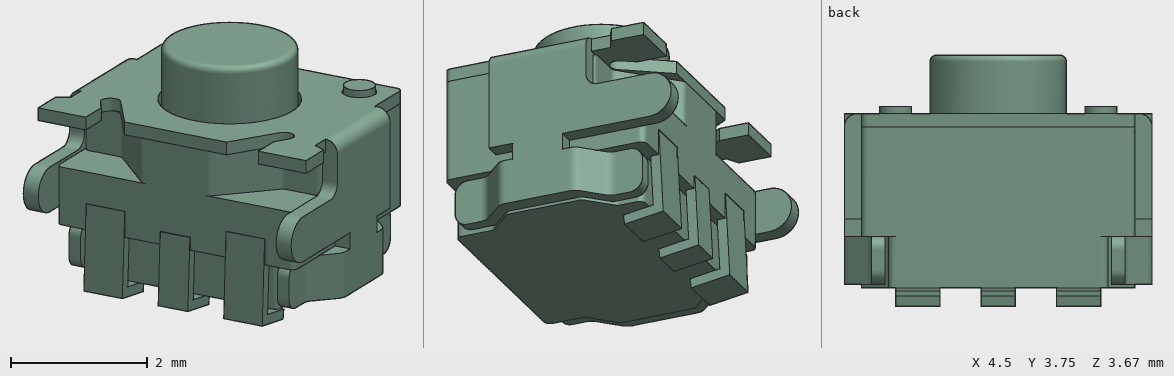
import cadquery as cq
import math


BASE_HEIGHT = 0.75
POCKET_FLOOR = 1.65
HOUSING_TOP = 2.35
PLATE_THICKNESS = 0.2
PLATE_TOP = HOUSING_TOP + PLATE_THICKNESS
POST_TOP = 2.65
BUTTON_TOP = 3.4

BODY_HALF_X = 2.0
BODY_HALF_Y = 1.6
CORNER_RADIUS = 0.1
BASE_FRONT_Y = -1.4
BASE_WAIST_HALF_X = 1.6
BULGE_HALF_Y = 0.6
BULGE_SLOPE = BODY_HALF_X - BASE_WAIST_HALF_X

POCKET_INNER_X = 0.56
POCKET_BACK_Y = -0.8
POCKET_BEND_X = POCKET_INNER_X + BODY_HALF_Y + POCKET_BACK_Y

POST_X = 1.5
POST_Y = 1.2
POST_RADIUS = 0.235
POST_HOLE_RADIUS = 0.25

SIDE_TERMINAL_X = 1.175
SIDE_TERMINAL_WIDTH = 0.65
SIDE_TERMINAL_TOP = 1.155
MIDDLE_TERMINAL_WIDTH = 0.5
MIDDLE_TERMINAL_TOP = 0.955
TERMINAL_THICKNESS = 0.155
LEG_HEEL = (-1.68, -0.18)
LEG_TILT = 3.0
FOOT_TILT = 8.2
FOOT_LENGTH = 0.625

BUTTON_RADIUS = 1.0
BUTTON_EDGE_RADIUS = 0.1
BUTTON_HOLE_RADIUS = 1.05

COVER_HALF_X = 2.25
BEND_RADIUS = 0.2
BEND_INNER_RADIUS = 0.1
PLATE_SIDE_X = COVER_HALF_X - BEND_RADIUS
PANEL_HALF_Y = 0.78
EAR_FRONT_Y = -1.705
EAR_INNER_X = 1.45
EAR_OUTER_Y = -1.19
EAR_SLOPE_Y = -1.08
TONGUE_HALF_X = 0.855
SLOT_RADIUS = 0.15
SLOT_END = (1.46, -0.96)
ARM_BOTTOM = 1.005
ARM_WIDTH = 0.698
ARM_TIP_Y = -2.145
ARM_FILLET = 0.2
NECK_HALF_Y = 0.4

STRIP_BOTTOM = 0.05
STRIP_HALF_Y = 1.505
STRIP_THICKNESS = 0.2
STRIP_END_X = 1.85
STRIP_SLOPE = COVER_HALF_X - STRIP_END_X
STRIP_EDGE_RADIUS = 0.2


def mirrored(points):
    """Complete a right-hand half outline (back to front) with its mirror image across X = 0."""
    return points + [(-x, y) for x, y in reversed(points)]


def mirror_pair(solid):
    """The solid together with its mirror image across X = 0."""
    return solid.union(solid.mirror("YZ"))


def housing_base():
    """Base block, wide beside the cover's necks and narrow at the front and back."""
    front_half = [
        (BASE_WAIST_HALF_X, BODY_HALF_Y),
        (BASE_WAIST_HALF_X, BULGE_HALF_Y + BULGE_SLOPE),
        (BODY_HALF_X, BULGE_HALF_Y),
        (BODY_HALF_X, -BULGE_HALF_Y),
        (BASE_WAIST_HALF_X, -BULGE_HALF_Y - BULGE_SLOPE),
        (BASE_WAIST_HALF_X, BASE_FRONT_Y),
    ]
    block = cq.Workplane("XY").polyline(mirrored(front_half)).close().extrude(BASE_HEIGHT)
    return block.edges("|Z").fillet(CORNER_RADIUS)


def housing_body():
    """Upper block with a pocket cut into each top front corner."""
    lower = (
        cq.Workplane("XY", origin=(0, 0, BASE_HEIGHT))
        .rect(2 * BODY_HALF_X, 2 * BODY_HALF_Y)
        .extrude(POCKET_FLOOR - BASE_HEIGHT)
        .edges("|Z")
        .fillet(CORNER_RADIUS)
    )
    upper_half = [
        (BODY_HALF_X, BODY_HALF_Y),
        (BODY_HALF_X, POCKET_BACK_Y),
        (POCKET_BEND_X, POCKET_BACK_Y),
        (POCKET_INNER_X, -BODY_HALF_Y),
    ]
    upper = (
        cq.Workplane("XY", origin=(0, 0, POCKET_FLOOR))
        .polyline(mirrored(upper_half))
        .close()
        .extrude(HOUSING_TOP - POCKET_FLOOR)
        .edges("|Z")
        .fillet(CORNER_RADIUS)
    )
    return lower.union(upper)


def inner_bend():
    """Section of the fillet inside the cover's bend on the +X side, from the back end of the panel."""
    return (
        cq.Workplane("XZ", origin=(0, PANEL_HALF_Y, 0))
        .moveTo(BODY_HALF_X, HOUSING_TOP)
        .lineTo(BODY_HALF_X - BEND_INNER_RADIUS, HOUSING_TOP)
        .radiusArc((BODY_HALF_X, HOUSING_TOP - BEND_INNER_RADIUS), BEND_INNER_RADIUS)
        .close()
    )


def terminal(center_x, width, top):
    """Bent strip: a slightly tilted leg up to the given height and a foot pointing backwards."""
    tilt = math.radians(LEG_TILT)
    foot = math.radians(FOOT_TILT)
    heel_y, heel_z = LEG_HEEL

    def leg_y(z):
        return heel_y + (z - heel_z) * math.tan(tilt)

    leg_depth = TERMINAL_THICKNESS / math.cos(tilt)
    toe = (heel_y + FOOT_LENGTH * math.cos(foot), heel_z - FOOT_LENGTH * math.sin(foot))
    toe_top = (toe[0] + TERMINAL_THICKNESS * math.sin(foot), toe[1] + TERMINAL_THICKNESS * math.cos(foot))
    inner_y = heel_y + leg_depth
    inner_z = toe_top[1] + (toe_top[0] - inner_y) * math.tan(foot)
    outline = [
        LEG_HEEL,
        toe,
        toe_top,
        (leg_y(inner_z) + leg_depth, inner_z),
        (leg_y(top) + leg_depth, top),
        (leg_y(top), top),
    ]
    return (
        cq.Workplane("YZ", origin=(center_x, 0, 0))
        .polyline(outline)
        .close()
        .extrude(width / 2, both=True)
    )


def build_housing():
    """Housing with its posts and the terminals fixed in it."""
    body = housing_base().union(housing_body())
    bend_relief = inner_bend().extrude(PANEL_HALF_Y - POCKET_BACK_Y)
    body = body.cut(mirror_pair(bend_relief))
    posts = (
        cq.Workplane("XY", origin=(0, 0, HOUSING_TOP))
        .pushPoints([(-POST_X, POST_Y), (POST_X, POST_Y)])
        .circle(POST_RADIUS)
        .extrude(POST_TOP - HOUSING_TOP)
    )
    body = body.union(posts)
    for center_x in (-SIDE_TERMINAL_X, SIDE_TERMINAL_X):
        body = body.union(terminal(center_x, SIDE_TERMINAL_WIDTH, SIDE_TERMINAL_TOP))
    return body.union(terminal(0, MIDDLE_TERMINAL_WIDTH, MIDDLE_TERMINAL_TOP))


def front_slot():
    """Slanted round-ended slot that opens at the front edge, on the +X side."""
    end_x, end_y = SLOT_END
    corner_dx = end_x - TONGUE_HALF_X
    corner_dy = end_y + BODY_HALF_Y
    reach = math.hypot(corner_dx, corner_dy)
    angle = math.atan2(corner_dy, corner_dx) + math.asin(SLOT_RADIUS / reach)
    along = (math.cos(angle), math.sin(angle))
    across = (math.sin(angle) * SLOT_RADIUS, -math.cos(angle) * SLOT_RADIUS)
    inner = (end_x - across[0], end_y - across[1])
    outer = (end_x + across[0], end_y + across[1])
    tip = (end_x + along[0] * SLOT_RADIUS, end_y + along[1] * SLOT_RADIUS)
    outer_run = (outer[0] - EAR_INNER_X) / along[0]
    ear_corner_y = outer[1] - outer_run * along[1]
    return (
        cq.Workplane("XY", origin=(0, 0, HOUSING_TOP))
        .moveTo(TONGUE_HALF_X, -BODY_HALF_Y)
        .lineTo(*inner)
        .threePointArc(tip, outer)
        .lineTo(EAR_INNER_X, ear_corner_y)
        .lineTo(EAR_INNER_X, -BODY_HALF_Y)
        .close()
        .extrude(PLATE_THICKNESS)
    )


def cover_plate():
    """Top plate with its two front ears, slots and holes."""
    right_half = [
        (BODY_HALF_X, BODY_HALF_Y),
        (BODY_HALF_X, PANEL_HALF_Y),
        (PLATE_SIDE_X, PANEL_HALF_Y),
        (PLATE_SIDE_X, EAR_SLOPE_Y),
        (COVER_HALF_X, EAR_OUTER_Y),
        (COVER_HALF_X, EAR_FRONT_Y),
        (EAR_INNER_X, EAR_FRONT_Y),
        (EAR_INNER_X, -BODY_HALF_Y),
    ]
    plate = (
        cq.Workplane("XY", origin=(0, 0, HOUSING_TOP))
        .polyline(mirrored(right_half))
        .close()
        .extrude(PLATE_THICKNESS)
        .edges("|Z and >Y")
        .fillet(CORNER_RADIUS)
    )
    button_hole = cq.Workplane("XY").circle(BUTTON_HOLE_RADIUS).extrude(BUTTON_TOP)
    post_holes = (
        cq.Workplane("XY")
        .pushPoints([(-POST_X, POST_Y), (POST_X, POST_Y)])
        .circle(POST_HOLE_RADIUS)
        .extrude(BUTTON_TOP)
    )
    return plate.cut(button_hole).cut(post_holes).cut(mirror_pair(front_slot()))


def side_panel():
    """Right-hand panel with its forward arm, and the neck down to the wavy strip."""
    arm_radius = ARM_WIDTH / 2
    arm_top = ARM_BOTTOM + ARM_WIDTH
    arm_end_y = ARM_TIP_Y + arm_radius
    panel = (
        cq.Workplane("YZ", origin=(BODY_HALF_X, 0, 0))
        .moveTo(PANEL_HALF_Y, PLATE_TOP)
        .lineTo(PANEL_HALF_Y, ARM_BOTTOM)
        .lineTo(NECK_HALF_Y, ARM_BOTTOM)
        .lineTo(NECK_HALF_Y, BASE_HEIGHT)
        .lineTo(-NECK_HALF_Y, BASE_HEIGHT)
        .lineTo(-NECK_HALF_Y, ARM_BOTTOM)
        .lineTo(arm_end_y, ARM_BOTTOM)
        .threePointArc((ARM_TIP_Y, ARM_BOTTOM + arm_radius), (arm_end_y, arm_top))
        .lineTo(-PANEL_HALF_Y - ARM_FILLET, arm_top)
        .radiusArc((-PANEL_HALF_Y, arm_top + ARM_FILLET), -ARM_FILLET)
        .lineTo(-PANEL_HALF_Y, PLATE_TOP)
        .close()
        .extrude(COVER_HALF_X - BODY_HALF_X)
    )
    return panel.edges(">Z and >X").fillet(BEND_RADIUS)


def wavy_strip():
    """Right-hand strip around the base: its middle is flush with the panel and its ends step inwards."""
    inner_end_x = STRIP_END_X - STRIP_THICKNESS
    inner_slope = BODY_HALF_X - inner_end_x
    outer_back = [
        (STRIP_END_X, STRIP_HALF_Y),
        (STRIP_END_X, BULGE_HALF_Y + STRIP_SLOPE),
        (COVER_HALF_X, BULGE_HALF_Y),
    ]
    inner_back = [
        (BODY_HALF_X, BULGE_HALF_Y),
        (inner_end_x, BULGE_HALF_Y + inner_slope),
        (inner_end_x, STRIP_HALF_Y),
    ]
    outer = outer_back + [(x, -y) for x, y in reversed(outer_back)]
    inner = [(x, -y) for x, y in reversed(inner_back)] + inner_back
    strip = (
        cq.Workplane("XY", origin=(0, 0, STRIP_BOTTOM))
        .polyline(outer + inner)
        .close()
        .extrude(BASE_HEIGHT - STRIP_BOTTOM)
    )
    middle_z = (STRIP_BOTTOM + BASE_HEIGHT) / 2
    bends = [
        (COVER_HALF_X, BULGE_HALF_Y, STRIP_EDGE_RADIUS),
        (STRIP_END_X, BULGE_HALF_Y + STRIP_SLOPE, STRIP_EDGE_RADIUS),
        (BODY_HALF_X, BULGE_HALF_Y, CORNER_RADIUS),
    ]
    for x, y, radius in bends:
        for bend_y in (-y, y):
            bend = cq.selectors.NearestToPointSelector((x, bend_y, middle_z))
            strip = strip.edges(bend).fillet(radius)
    return strip.edges("|X").edges("<Y or >Y").fillet(STRIP_EDGE_RADIUS)


def build_cover():
    """Plate and both bent-down sides in one piece."""
    bend_fill = inner_bend().extrude(2 * PANEL_HALF_Y)
    side = side_panel().union(bend_fill).union(wavy_strip())
    return cover_plate().union(mirror_pair(side))


def build_button():
    """Round button standing on the housing, inside the hole of the plate."""
    return (
        cq.Workplane("XY", origin=(0, 0, HOUSING_TOP))
        .circle(BUTTON_RADIUS)
        .extrude(BUTTON_TOP - HOUSING_TOP)
        .faces(">Z")
        .edges()
        .fillet(BUTTON_EDGE_RADIUS)
    )


housing = build_housing()
cover = build_cover()
button = build_button()
result = cq.Compound.makeCompound([housing.val(), cover.val(), button.val()])